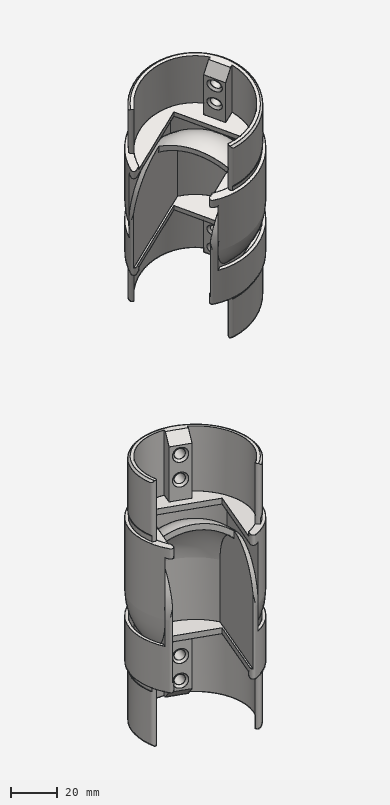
import cadquery as cq

RAIL_RADIUS = 30.2
SLOT_WIDTH = 34.6
SLOT_BACK_Y = 15.2
LIP_FILLET = 1.3

PLATE_INNER_Z = 30.3
PLATE_OUTER_Z = 33.2
SHOULDER_Z = 35.2
NECK_END_Z = 38.1
SLEEVE_END_Z = 65.0

SLEEVE_RADIUS = 28.9
NECK_RADIUS = 28.6
BORE_RADIUS = 26.3
SLEEVE_CHAMFER = 1.0
SLEEVE_SLOT_WIDTH = 44.1
SLEEVE_LIP_FILLET = 1.7

BAR_WIDTH = 10.4
BAR_FRONT_Y = 19.4
BAR_CHAMFER = 5.0
SCREW_HOLE_DIAMETER = 5.1
SCREW_SEAT_DIAMETER = 7.3
SCREW_LEVELS = (43.2, 55.2)

TONGUE_WIDTH = 42.0
SOCKET_RADIUS = 28.6
BACK_WALL_Z = 11.8
SIDE_WALL_Z = -13.0
POCKET_WIDTH = 36.3
POCKET_RADIUS = 27.3
DOME_TILT = 5.0

REACH = 2 * RAIL_RADIUS


def cylinder(radius, z_low, z_high):
    return cq.Workplane("XY").workplane(offset=z_low).circle(radius).extrude(z_high - z_low)


def block(width, y_low, y_high, z_low, z_high):
    """Box centred on X."""
    size = (width, y_high - y_low, z_high - z_low)
    corner = (-width / 2, y_low, z_low)
    return cq.Workplane("XY").box(*size, centered=False).translate(corner)


def rail_section(z_low, z_high):
    """Slotted round section with rounded lips along the slot."""
    slot = block(SLOT_WIDTH, -REACH, SLOT_BACK_Y, z_low, z_high)
    section = cylinder(RAIL_RADIUS, z_low, z_high).cut(slot)
    return section.edges("|Z").edges("<Y").fillet(LIP_FILLET)


def sleeve():
    """Open sleeve wall with rounded lips, a neck groove and a chamfered end."""
    opening = block(SLEEVE_SLOT_WIDTH, -REACH, 0, PLATE_OUTER_Z, SLEEVE_END_Z)
    wall = cylinder(SLEEVE_RADIUS, PLATE_OUTER_Z, SLEEVE_END_Z).cut(opening)
    wall = wall.edges("|Z").edges("<Y").fillet(SLEEVE_LIP_FILLET)
    wall = wall.cut(cylinder(BORE_RADIUS, PLATE_OUTER_Z, SLEEVE_END_Z))

    envelope = cylinder(SLEEVE_RADIUS, PLATE_OUTER_Z, SLEEVE_END_Z).faces(">Z").chamfer(SLEEVE_CHAMFER)
    groove = cylinder(SLEEVE_RADIUS, SHOULDER_Z, NECK_END_Z)
    groove = groove.cut(cylinder(NECK_RADIUS, SHOULDER_Z, NECK_END_Z))
    return wall.intersect(envelope).cut(groove)


def screw_bar():
    """Bar along the back of the bore, bevelled at the sleeve end."""
    bar = block(BAR_WIDTH, BAR_FRONT_Y, RAIL_RADIUS, PLATE_OUTER_Z, SLEEVE_END_Z)
    bar = bar.faces(">Z").edges("<Y").chamfer(BAR_CHAMFER)
    inside_wall = cylinder((BORE_RADIUS + NECK_RADIUS) / 2, PLATE_OUTER_Z, SLEEVE_END_Z)
    return bar.intersect(inside_wall)


def screw_hole(z):
    """Through hole along Y, countersunk at the front of the bar."""
    hole_radius = SCREW_HOLE_DIAMETER / 2
    seat_radius = SCREW_SEAT_DIAMETER / 2
    seat_end_y = BAR_FRONT_Y + seat_radius - hole_radius
    outline = [
        (0, BAR_FRONT_Y),
        (seat_radius, BAR_FRONT_Y),
        (hole_radius, seat_end_y),
        (hole_radius, RAIL_RADIUS),
        (0, RAIL_RADIUS),
    ]
    hole = cq.Workplane("XY").polyline(outline).close().revolve(360, (0, 0), (0, 1))
    return hole.translate((0, 0, z))


def ball_ended_fitting():
    """Common upward form: sleeve on top, rail section, and a half ball below the joint centre."""
    fitting = rail_section(0, SHOULDER_Z).cut(cylinder(BORE_RADIUS, PLATE_OUTER_Z, SHOULDER_Z))
    fitting = fitting.union(sleeve()).union(screw_bar())
    for z in SCREW_LEVELS:
        fitting = fitting.cut(screw_hole(z))
    slot_infill = block(SLOT_WIDTH, 0, SLOT_BACK_Y, -RAIL_RADIUS, 0)
    half_ball = rail_section(-RAIL_RADIUS, 0).union(slot_infill)
    half_ball = half_ball.intersect(cq.Workplane("XY").sphere(RAIL_RADIUS))
    return fitting.union(half_ball)


def fork_body():
    """Upper body: two cheeks astride the tongue and a thin wall behind it."""
    tongue_space = block(TONGUE_WIDTH, -REACH, REACH, -REACH, PLATE_INNER_Z)
    socket = cylinder(SOCKET_RADIUS, -REACH, PLATE_INNER_Z)
    front = block(TONGUE_WIDTH, -REACH, 0, -REACH, PLATE_INNER_Z)
    below_wall = cylinder(REACH, -REACH, BACK_WALL_Z)
    opening = socket.union(front).union(below_wall).intersect(tongue_space)
    return ball_ended_fitting().cut(opening)


def tongue_body():
    """Lower body: a domed tongue, hollow and open to the front, with a socket for each cheek."""
    body = ball_ended_fitting().mirror("XY")

    tongue_slab = block(TONGUE_WIDTH, -REACH, REACH, -PLATE_INNER_Z, REACH)
    sockets = cylinder(SOCKET_RADIUS, -PLATE_INNER_Z, 0)
    above_walls = cylinder(REACH, SIDE_WALL_Z, REACH)
    cheek_space = sockets.union(above_walls).cut(tongue_slab)

    pocket = cylinder(POCKET_RADIUS, -PLATE_INNER_Z, 0)
    pocket = pocket.union(cq.Workplane("XY").sphere(POCKET_RADIUS))
    front = block(POCKET_WIDTH, -REACH, 0, -PLATE_INNER_Z, REACH)
    above_joint = block(POCKET_WIDTH, -REACH, 0, 0, REACH)
    leaning_front = above_joint.rotate((0, 0, 0), (1, 0, 0), -DOME_TILT)
    width_limit = block(POCKET_WIDTH, -REACH, REACH, -PLATE_INNER_Z, RAIL_RADIUS)
    pocket = pocket.union(front).union(leaning_front).intersect(width_limit)

    return body.cut(cheek_space).cut(pocket)


fork = fork_body()
tongue = tongue_body()

result = cq.Compound.makeCompound([fork.solids().val(), tongue.solids().val()])